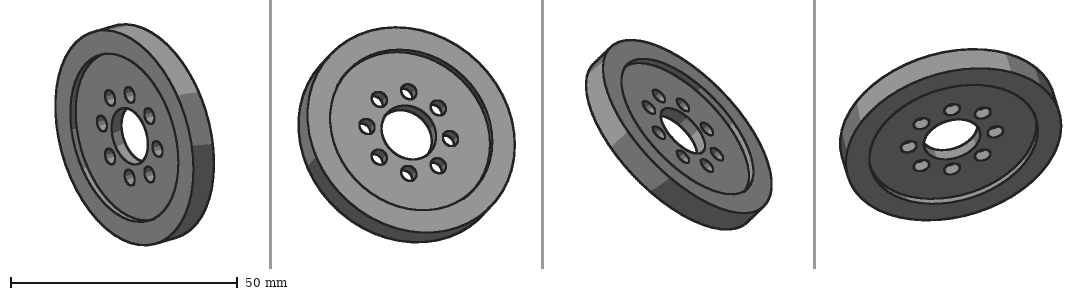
import cadquery as cq

outer_diameter = 48.7
thickness = 5.85

recess_diameter = 38.08
recess_depth = 1.5
web_thickness = thickness - 2 * recess_depth

bore_diameter = 12.75
hole_diameter = 3.55
hole_count = 8
hole_circle_diameter = 19.55


def centred_plane(length):
    """XZ workplane from which an extrusion of this length is centred on Y = 0."""
    return cq.Workplane("XZ").workplane(offset=-length / 2)


rim = (
    centred_plane(thickness)
    .circle(outer_diameter / 2)
    .circle(recess_diameter / 2)
    .extrude(thickness)
)

web = (
    centred_plane(web_thickness)
    .circle(recess_diameter / 2)
    .circle(bore_diameter / 2)
    .extrude(web_thickness)
)

ring_holes = (
    centred_plane(web_thickness)
    .polarArray(hole_circle_diameter / 2, 0, 360, hole_count)
    .circle(hole_diameter / 2)
    .extrude(web_thickness)
)

result = rim.union(web).cut(ring_holes)